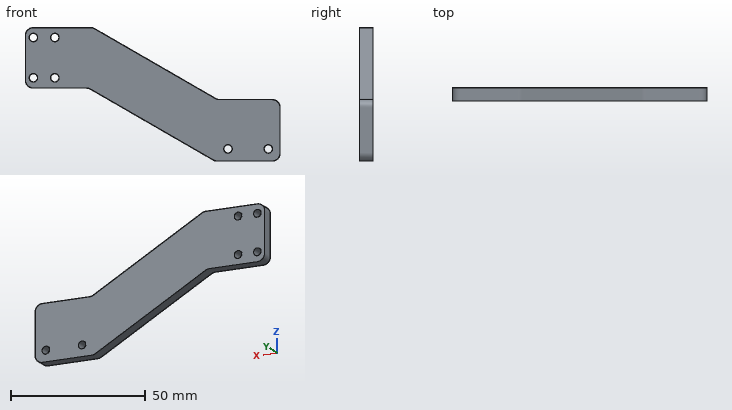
import cadquery as cq
import math

length = 95.0
height = 49.8
thickness = 5.0

left_pad_height = 22.6
right_pad_height = 23.0
slope = math.tan(math.radians(30))
upper_bend_x = 25.2
lower_bend_x = 23.7
corner_radius = 3.0
bend_radius = 3.0

hole_diameter = 3.0
left_hole_x = 3.0
left_hole_spacing_x = 8.0
left_hole_top_inset = 3.7
left_hole_spacing_z = 15.0
right_hole_x = 75.5
right_hole_spacing_x = 15.0
right_hole_z = 4.6

left_pad_bottom = height - left_pad_height
upper_arm_end_x = upper_bend_x + (height - right_pad_height) / slope
lower_arm_end_x = lower_bend_x + left_pad_bottom / slope

pad_corners = [(0, left_pad_bottom), (0, height), (length, right_pad_height), (length, 0)]
bends = [
    (upper_bend_x, height),
    (upper_arm_end_x, right_pad_height),
    (lower_arm_end_x, 0),
    (lower_bend_x, left_pad_bottom),
]


def round_edges(body, corners, radius):
    """Fillet the through-thickness edges at the given outline corners."""
    for x, z in corners:
        nearest = cq.selectors.NearestToPointSelector((x, thickness / 2, z))
        body = body.edges("|Y").edges(nearest).fillet(radius)
    return body


def make_plate():
    """Extrude the outline from the front face (Y = 0) towards +Y."""
    outline = [
        pad_corners[0],
        pad_corners[1],
        bends[0],
        bends[1],
        pad_corners[2],
        pad_corners[3],
        bends[2],
        bends[3],
    ]
    plate = cq.Workplane("XZ").polyline(outline).close().extrude(-thickness)
    plate = round_edges(plate, pad_corners, corner_radius)
    return round_edges(plate, bends, bend_radius)


def make_holes():
    """Through holes: a 2 x 2 group on the left pad and a pair on the right pad."""
    upper_row = height - left_hole_top_inset
    centres = [
        (x, z)
        for x in (left_hole_x, left_hole_x + left_hole_spacing_x)
        for z in (upper_row, upper_row - left_hole_spacing_z)
    ]
    centres += [(x, right_hole_z) for x in (right_hole_x, right_hole_x + right_hole_spacing_x)]
    return cq.Workplane("XZ").pushPoints(centres).circle(hole_diameter / 2).extrude(-thickness)


result = make_plate().cut(make_holes())